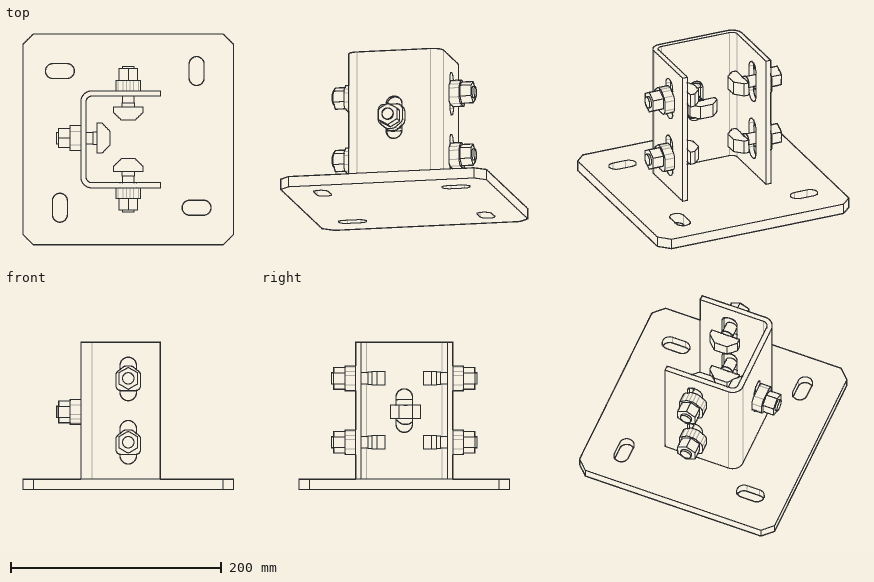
import cadquery as cq
import math

PLATE_SIDE = 200.0
PLATE_THICKNESS = 10.0
PLATE_CORNER_CUT = 10.0
ANCHOR_SLOT_LENGTH = 27.2
ANCHOR_SLOT_WIDTH = 14.0
ANCHOR_SLOT_OFFSET = 64.8

CHANNEL_HEIGHT = 130.0
CHANNEL_WIDTH = 92.0
CHANNEL_WALL = 5.0
CHANNEL_OUTER_RADIUS = 10.5
WEB_X = -45.0
FLANGE_END_X = 30.5
BOLT_SLOT_LENGTH = 41.0
BOLT_SLOT_WIDTH = 15.5
FLANGE_SLOT_HEIGHTS = (45.0, 105.0)
WEB_SLOT_HEIGHT = 75.0

HEAD_WIDTH = 28.5
HEAD_TIP_WIDTH = 12.8
HEAD_DEPTH = 12.5
HEAD_RIM = 4.8
HEAD_HEIGHT = 12.8
HEAD_SETBACK = 15.5
COLLAR_DIAMETER = 12.0
COLLAR_LENGTH = 4.0
SHANK_DIAMETER = 10.8
SHANK_STUB = 2.0
NUT_ACROSS_FLATS = 18.0
NUT_THICKNESS = 11.0
WASHER_SIDE = 23.5
WASHER_THICKNESS = 10.0
WASHER_RADIUS = 5.5
WASHER_SHOULDER = 5.0
WASHER_TOP_WIDTH = 7.5

FLANGE_BOLT_HEIGHTS = (45.0, 105.5)
WEB_BOLT_HEIGHT = 73.8
WEB_BOLT_Y = 1.2


def make_base_plate():
    plate = cq.Workplane("XY").box(PLATE_SIDE, PLATE_SIDE, PLATE_THICKNESS, centered=(True, True, False))
    plate = plate.edges("|Z").chamfer(PLATE_CORNER_CUT)
    for side_x in (-1, 1):
        for side_y in (-1, 1):
            direction = 90 if side_x == side_y else 0
            plate = plate.cut(
                cq.Workplane("XY")
                .center(side_x * ANCHOR_SLOT_OFFSET, side_y * ANCHOR_SLOT_OFFSET)
                .slot2D(ANCHOR_SLOT_LENGTH, ANCHOR_SLOT_WIDTH, direction)
                .extrude(PLATE_THICKNESS)
            )
    return plate


def make_channel():
    length = FLANGE_END_X - WEB_X
    outer = (
        cq.Workplane("XY", origin=(WEB_X, 0, PLATE_THICKNESS))
        .box(length, CHANNEL_WIDTH, CHANNEL_HEIGHT, centered=(False, True, False))
        .edges("|Z and <X").fillet(CHANNEL_OUTER_RADIUS)
    )
    inner = (
        cq.Workplane("XY", origin=(WEB_X + CHANNEL_WALL, 0, PLATE_THICKNESS))
        .box(length, CHANNEL_WIDTH - 2 * CHANNEL_WALL, CHANNEL_HEIGHT, centered=(False, True, False))
        .edges("|Z and <X").fillet(CHANNEL_OUTER_RADIUS - CHANNEL_WALL)
    )
    channel = outer.cut(inner)

    for height in FLANGE_SLOT_HEIGHTS:
        flange_slot = (
            cq.Workplane("XZ", origin=(0, 0, height))
            .slot2D(BOLT_SLOT_LENGTH, BOLT_SLOT_WIDTH, 90)
            .extrude(CHANNEL_WIDTH / 2, both=True)
        )
        channel = channel.cut(flange_slot)
    web_slot = (
        cq.Workplane("YZ", origin=(WEB_X, 0, WEB_SLOT_HEIGHT))
        .slot2D(BOLT_SLOT_LENGTH, BOLT_SLOT_WIDTH, 90)
        .extrude(CHANNEL_WALL)
    )
    return channel.cut(web_slot)


def make_washer():
    """Square washer block whose +Y end tapers to a narrow flat."""
    half = WASHER_SIDE / 2
    half_top = WASHER_TOP_WIDTH / 2
    outline = [
        (-half, -half),
        (half, -half),
        (half, WASHER_SHOULDER),
        (half_top, half),
        (-half_top, half),
        (-half, WASHER_SHOULDER),
    ]
    return (
        cq.Workplane("XY").polyline(outline).close().extrude(WASHER_THICKNESS)
        .edges("|Z").fillet(WASHER_RADIUS)
    )


def make_hammer_head():
    """Head profile in XZ, tapering away from the seat, extruded along Y."""
    half = HEAD_WIDTH / 2
    half_tip = HEAD_TIP_WIDTH / 2
    outline = [
        (-half, 0),
        (half, 0),
        (half, -HEAD_RIM),
        (half_tip, -HEAD_DEPTH),
        (-half_tip, -HEAD_DEPTH),
        (-half, -HEAD_RIM),
    ]
    return (
        cq.Workplane("XZ", origin=(0, 0, -HEAD_SETBACK))
        .polyline(outline).close().extrude(HEAD_HEIGHT / 2, both=True)
    )


def make_bolt(seat, outward, washer_up):
    """Bolt standing on the channel face at `seat`, pointing along `outward`."""
    nut_top = WASHER_THICKNESS + NUT_THICKNESS
    nut_across_corners = NUT_ACROSS_FLATS / math.cos(math.pi / 6)
    nut = (
        cq.Workplane("XY").workplane(offset=WASHER_THICKNESS)
        .transformed(rotate=(0, 0, 90))
        .polygon(6, nut_across_corners).extrude(NUT_THICKNESS)
    )
    shank = (
        cq.Workplane("XY").workplane(offset=-HEAD_SETBACK)
        .circle(SHANK_DIAMETER / 2).extrude(HEAD_SETBACK + nut_top + SHANK_STUB)
    )
    collar = (
        cq.Workplane("XY").workplane(offset=-HEAD_SETBACK)
        .circle(COLLAR_DIAMETER / 2).extrude(COLLAR_LENGTH)
    )
    bolt = make_hammer_head().union(collar).union(shank).union(make_washer()).union(nut)

    across = cq.Vector(*washer_up).cross(cq.Vector(*outward))
    placement = cq.Plane(origin=seat, xDir=across.toTuple(), normal=outward)
    return bolt.solids().val().moved(cq.Location(placement))


def make_bolts():
    up = (0, 0, 1)
    down = (0, 0, -1)
    bolts = []
    for side in (-1, 1):
        for height in FLANGE_BOLT_HEIGHTS:
            seat = (0, side * CHANNEL_WIDTH / 2, height)
            bolts.append(make_bolt(seat, (0, side, 0), up))
    bolts.append(make_bolt((WEB_X, WEB_BOLT_Y, WEB_BOLT_HEIGHT), (-1, 0, 0), down))
    return bolts


base_plate = make_base_plate()
channel = make_channel()
bolts = make_bolts()

result = cq.Compound.makeCompound([base_plate.val(), channel.val(), *bolts])